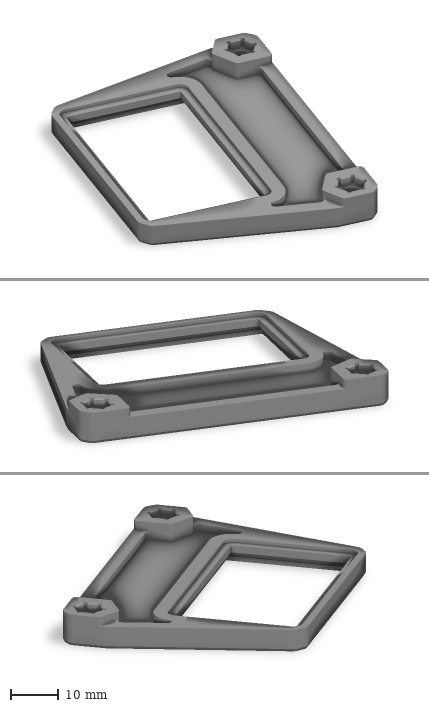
import cadquery as cq
import math

width = 70.0
depth = 51.4
height = 7.0
plate_thickness = 5.0
front_half_width = 25.8
straight_side_length = 10.1
corner_cut = 2.0
corner_blend = 2.0
base_chamfer_height = 0.6
base_chamfer_tilt = 30

window_width = 45.5
window_depth = 26.5
window_center_y = -9.45
rebate_width = 48.7
rebate_depth = 29.55
rebate_center_y = -9.4
rebate_height = 0.9
rebate_corner = 2.0
flare = 1.5
lower_opening_height = 1.0

recess_depth = 2.0
wall = 3.0
edge_round = 1.0

screw_inset = 5.05
screw_diameter = 3.3
boss_apothem = 5.8
nut_flats = 5.5
nut_pocket_depth = 2.1
nut_lead_in = 0.245
nut_relief_radius = 0.5

half_width = width / 2
back_y = depth / 2
front_y = -depth / 2
screw_x = half_width - screw_inset
screw_y = back_y - screw_inset
hexagon_turn = 30
half_side_angle = math.radians(hexagon_turn)


def plate_outline():
    taper_y = back_y - straight_side_length
    return cq.Workplane("XY").polyline([
        (-half_width, back_y),
        (half_width, back_y),
        (half_width, taper_y),
        (front_half_width, front_y),
        (-front_half_width, front_y),
        (-half_width, taper_y),
    ]).close()


def blank_with_cut_corners():
    """Full-height blank with blended corner cuts and a chamfered base."""
    blank = plate_outline().extrude(height)
    blank = blank.edges("|Z and (>Y or <Y)").chamfer(corner_cut)
    kink_y = back_y - straight_side_length
    blank = (
        blank.edges("|Z")
        .filter(lambda edge: abs(edge.Center().y - kink_y) > corner_cut)
        .fillet(corner_blend)
    )
    straight_part = blank.intersect(
        cq.Workplane("XY", origin=(0, 0, base_chamfer_height))
        .rect(2 * width, 2 * depth)
        .extrude(height)
    )
    narrowing_part = (
        straight_part.faces("<Z")
        .wires()
        .toPending()
        .workplane()
        .extrude(base_chamfer_height, combine=False, taper=base_chamfer_tilt)
    )
    return straight_part.union(narrowing_part)


def boss_prism(side):
    """Boss with a two-sided point toward the front; side is +1 or -1 along X."""
    inner_x = screw_x - boss_apothem
    point_drop = boss_apothem / math.cos(half_side_angle)
    shoulder_drop = point_drop - boss_apothem * math.tan(half_side_angle)
    outer_drop = point_drop - screw_inset * math.tan(half_side_angle)
    return (
        cq.Workplane("XY")
        .polyline([
            (side * half_width, back_y),
            (side * inner_x, back_y),
            (side * inner_x, screw_y - shoulder_drop),
            (side * screw_x, screw_y - point_drop),
            (side * half_width, screw_y - outer_drop),
        ])
        .close()
        .extrude(height)
        .edges("|Z")
        .fillet(edge_round)
    )


def rebate_prism(margin, bottom, top):
    """Rounded rectangle of the window rebate, grown outward by a margin."""
    return (
        cq.Workplane("XY", origin=(0, rebate_center_y, bottom))
        .rect(rebate_width + 2 * margin, rebate_depth + 2 * margin)
        .extrude(top - bottom)
        .edges("|Z")
        .fillet(rebate_corner + margin)
    )


def recess(bosses):
    """Pocket bounded by the outer wall, the bosses and the rim around the window."""
    floor_z = plate_thickness - recess_depth
    sharp = plate_outline().offset2D(-wall).extrude(height)
    sharp = sharp.cut(bosses).cut(rebate_prism(wall, 0, height))
    outline = sharp.faces("<Z").wires().vals()[0]
    rounded = outline.offset2D(-edge_round)[0].offset2D(edge_round)[0]
    return (
        cq.Workplane("XY")
        .add(rounded)
        .toPending()
        .extrude(recess_depth)
        .translate((0, 0, floor_z))
    )


def window():
    """Window opening that steps to a rebate on top and flares open below."""
    lower_size = (window_width + 2 * flare, window_depth + 2 * flare)
    base = cq.Workplane("XY", origin=(0, window_center_y, 0))
    through = base.rect(window_width, window_depth).extrude(height)
    opening = base.rect(*lower_size).extrude(lower_opening_height)
    flared_part = (
        base.workplane(offset=lower_opening_height)
        .rect(*lower_size)
        .workplane(offset=flare)
        .rect(window_width, window_depth)
        .loft()
    )
    rebate = rebate_prism(0, plate_thickness - rebate_height, height)
    return through.union(opening).union(flared_part).union(rebate)


def nut_hole(side):
    """Through hole with a hexagonal nut pocket, corner reliefs and a lead-in."""
    axis = (side * screw_x, screw_y)
    corner_radius = nut_flats / 2 / math.cos(half_side_angle)
    floor = cq.Workplane("XY", origin=(*axis, height - nut_pocket_depth))
    hexagon = (
        floor.transformed(rotate=(0, 0, hexagon_turn))
        .polygon(6, 2 * corner_radius)
        .extrude(nut_pocket_depth)
    )
    reliefs = (
        floor.polarArray(corner_radius, hexagon_turn, 360, 6)
        .circle(nut_relief_radius)
        .extrude(nut_pocket_depth)
    )
    lead_in_corner = corner_radius + nut_lead_in / math.cos(half_side_angle)
    lead_in = (
        cq.Workplane("XY", origin=(*axis, height - nut_lead_in))
        .transformed(rotate=(0, 0, hexagon_turn))
        .polygon(6, 2 * corner_radius)
        .workplane(offset=nut_lead_in)
        .polygon(6, 2 * lead_in_corner)
        .loft()
    )
    shank = cq.Workplane("XY", origin=(*axis, 0)).circle(screw_diameter / 2).extrude(height)
    return hexagon.union(reliefs).union(lead_in).union(shank)


bosses = boss_prism(-1).union(boss_prism(1))
blank = blank_with_cut_corners()
above_plate = (
    cq.Workplane("XY", origin=(0, 0, plate_thickness))
    .rect(2 * width, 2 * depth)
    .extrude(height)
    .cut(bosses)
)
result = blank.cut(above_plate).cut(recess(bosses)).cut(window())
for side in (-1, 1):
    result = result.cut(nut_hole(side))